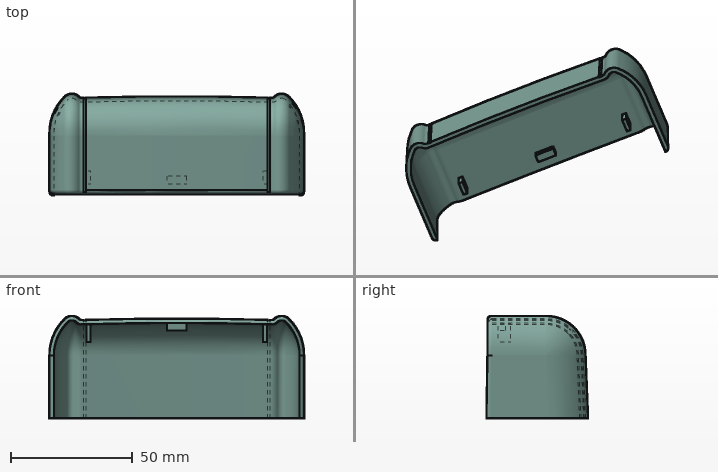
import cadquery as cq
import math

length = 104.8
height = 42.1
front_y = -21.0
upper_front_y = -20.5
back_y = 21.0

bend_z = 25.9
bend_y = 3.7
crest = height - bend_z
rim_bend_y = back_y - crest

wall = 1.9
end_radius = 21.0
crest_radius = 4.2
cove_radius = 1.6
panel_edge = 14.6
panel_rise = 0.6
lip_radius = 1.8

groove_centre_x = 37.8
groove_width = 1.0
groove_depth = 0.2

end_tab_x = 36.2
end_tab_width = 1.7
end_tab_length = 5.2
end_tab_bottom = 31.3
mid_tab_width = 7.9
mid_tab_length = 3.1
mid_tab_bottom = 36.1
tab_setback = 4.4

end_centre_x = end_radius - length / 2
crest_centre_h = crest - crest_radius
crest_x = end_centre_x - math.sqrt((end_radius - crest_radius) ** 2 - crest_centre_h ** 2)
cove_h = panel_edge + cove_radius
cove_x = crest_x + math.sqrt((crest_radius + cove_radius) ** 2 - (cove_h - crest_centre_h) ** 2)


def on_circle(x, h, radius, angle):
    return (x + radius * math.cos(angle), h + radius * math.sin(angle))


def skin(plane, inset, shift=0.0):
    """Open cross-section curve from end wall to end wall, inset from the outer skin."""
    end_r = end_radius - inset
    crest_r = crest_radius - inset
    cove_r = cove_radius + inset
    crest_h = crest_centre_h + shift
    hollow_h = cove_h + shift
    join = math.atan2(crest_centre_h, crest_x - end_centre_x)
    turn = math.atan2(cove_h - crest_centre_h, cove_x - crest_x)
    cove_entry = turn + math.pi
    straight_down = 1.5 * math.pi

    end_start = (end_centre_x - end_r, shift)
    end_mid = on_circle(end_centre_x, shift, end_r, (math.pi + join) / 2)
    end_stop = on_circle(end_centre_x, shift, end_r, join)
    crest_mid = on_circle(crest_x, crest_h, crest_r, (join + turn) / 2)
    crest_stop = on_circle(crest_x, crest_h, crest_r, turn)
    cove_mid = on_circle(cove_x, hollow_h, cove_r, (cove_entry + straight_down) / 2)
    cove_stop = (cove_x, hollow_h - cove_r)
    panel_mid = (0, panel_edge + panel_rise - inset + shift)

    def mirrored(point):
        return (-point[0], point[1])

    return (
        cq.Workplane(plane)
        .moveTo(*end_start)
        .threePointArc(end_mid, end_stop)
        .threePointArc(crest_mid, crest_stop)
        .threePointArc(cove_mid, cove_stop)
        .threePointArc(panel_mid, mirrored(cove_stop))
        .threePointArc(mirrored(cove_mid), mirrored(crest_stop))
        .threePointArc(mirrored(crest_mid), mirrored(end_stop))
        .threePointArc(mirrored(end_mid), mirrored(end_start))
    )


def level_outline(inset, z, line_y, edge_y):
    """Closed horizontal outline of the part at height z."""
    half_length = length / 2 - inset
    outline = (
        skin(cq.Plane((0, 0, z)), inset, line_y)
        .lineTo(half_length, edge_y)
        .lineTo(-half_length, edge_y)
        .close()
    )
    return outline.val()


def lower_body(inset):
    """Drafted block between the rim and the bend line."""
    rim = level_outline(inset, 0, rim_bend_y, front_y)
    bend = level_outline(inset, bend_z, bend_y, upper_front_y)
    return cq.Workplane(cq.Solid.makeLoft([rim, bend], True))


def upper_front_body(inset):
    """Straight run of the cross-section from the front edge to the bend line."""
    plane = cq.Plane((0, upper_front_y, bend_z), (1, 0, 0), (0, -1, 0))
    return skin(plane, inset).close().extrude(upper_front_y - bend_y)


def corner_body(inset):
    """Quarter turn of the cross-section from roof to rear wall."""
    plane = cq.Plane((0, bend_y, bend_z), (1, 0, 0), (0, -1, 0))
    return skin(plane, inset).close().revolve(90, (0, 0, 0), (-1, 0, 0))


def full_body(inset):
    """Complete sharp-edged block of the part, inset from the outer skin."""
    return lower_body(inset).union(upper_front_body(inset)).union(corner_body(inset))


def rounded_body():
    """Outer block with its front edge rounded along the walls and the roof."""
    margin = 0.1
    half = length / 2 + margin
    upper_edges = cq.selectors.BoxSelector(
        (-half, upper_front_y - margin, bend_z + margin), (half, upper_front_y + margin, height)
    )
    lower_edges = cq.selectors.BoxSelector(
        (-half, front_y, margin), (half, upper_front_y, bend_z - margin)
    )
    lower = lower_body(0).edges(lower_edges).fillet(lip_radius)
    upper = upper_front_body(0).edges(upper_edges).fillet(lip_radius)
    return lower.union(upper).union(corner_body(0))


def grooves():
    """Cutters for the shallow grooves that follow the skin at both panel ends."""
    slabs = (
        cq.Workplane("XY")
        .pushPoints([(-groove_centre_x, 0), (groove_centre_x, 0)])
        .rect(groove_width, 2 * length)
        .extrude(height)
    )
    return full_body(0).intersect(slabs).cut(full_body(groove_depth))


def tab(x, width, run, bottom):
    """Tab hanging under the roof, set back from the front edge."""
    top = bend_z + panel_edge - wall / 2
    y = upper_front_y + tab_setback
    return cq.Workplane("XY").box(width, run, top - bottom, (True, False, False)).translate((x, y, bottom))


result = rounded_body().cut(full_body(wall)).cut(grooves())
for side in (-1, 1):
    result = result.union(tab(side * end_tab_x, end_tab_width, end_tab_length, end_tab_bottom))
result = result.union(tab(0, mid_tab_width, mid_tab_length, mid_tab_bottom))